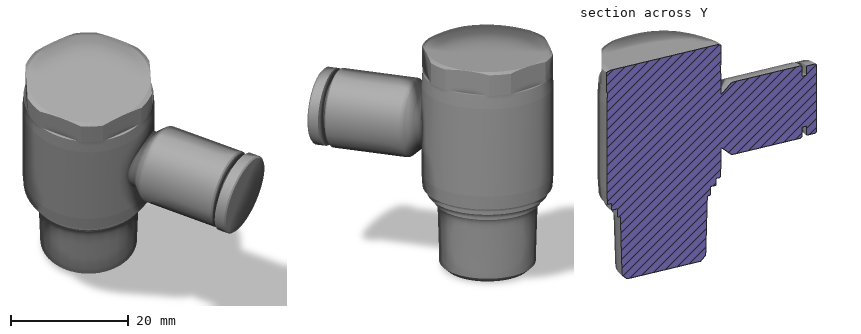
import cadquery as cq
import math

overall_length = 41.05

thread_tip_radius = 7.2
thread_small_radius = 8.2
thread_large_radius = 8.55
thread_chamfer_height = 0.95
collar_radius = 9.1
collar_chamfer = 0.15
seat_radius = 10.25
body_radius = 11.2
body_end_radius = 11.05
thread_top_z = 11.9
collar_top_z = 13.5
seat_top_z = 14.78
body_top_z = 35.75
body_taper_height = 2.45

head_sides = 6
head_height = 4.05
head_corner_radius = 11.25
head_across_flats = 21.1
head_face_radius = 10.5
head_chamfer_height = 0.3
head_across_corners = head_across_flats / math.cos(math.pi / head_sides)
head_top_z = body_top_z + head_height

branch_z = 25.33
neck_radius = 5.0
neck_end_x = 11.25
sleeve_radius = 6.8
sleeve_start_x = 13.2
sleeve_end_x = 26.95
sleeve_blend_radius = 1.0
sleeve_end_chamfer = 0.25

stem_radius = 4.8
ring_start_x = 27.85
ring_end_x = overall_length - head_corner_radius
ring_half_width = 7.47
ring_half_height = 6.53
ring_chamfer = 0.25


def make_body():
    """Revolve the stepped body with its tapered thread."""
    profile = [
        (0, 0),
        (thread_tip_radius, 0),
        (thread_small_radius, thread_chamfer_height),
        (thread_large_radius, thread_top_z),
        (collar_radius - collar_chamfer, thread_top_z),
        (collar_radius, thread_top_z + collar_chamfer),
        (collar_radius, collar_top_z),
        (seat_radius, collar_top_z),
        (seat_radius, seat_top_z),
        (body_end_radius, seat_top_z),
        (body_radius, seat_top_z + body_taper_height),
        (body_radius, body_top_z - body_taper_height),
        (body_end_radius, body_top_z),
        (0, body_top_z),
    ]
    return cq.Workplane("XZ").polyline(profile).close().revolve(360, (0, 0), (0, 1))


def make_head():
    """Hexagon with two flats facing +Y and -Y, its corners turned round and chamfered on top."""
    hexagon = (
        cq.Workplane("XY", origin=(0, 0, body_top_z))
        .polygon(head_sides, head_across_corners)
        .extrude(head_height)
    )
    turned_profile = [
        (0, body_top_z),
        (head_corner_radius, body_top_z),
        (head_corner_radius, head_top_z - head_chamfer_height),
        (head_face_radius, head_top_z),
        (0, head_top_z),
    ]
    turned_blank = cq.Workplane("XZ").polyline(turned_profile).close().revolve(360, (0, 0), (0, 1))
    return hexagon.intersect(turned_blank)


def make_sleeve():
    """Neck that flares through a blended cone into the tube sleeve."""
    profile = [
        (0, 0),
        (0, neck_radius),
        (neck_end_x, neck_radius),
        (sleeve_start_x, sleeve_radius),
        (sleeve_end_x, sleeve_radius),
        (sleeve_end_x, 0),
    ]
    sleeve = (
        cq.Workplane("XZ", origin=(0, 0, branch_z))
        .polyline(profile)
        .close()
        .revolve(360, (0, 0), (1, 0))
    )
    cone_rims = cq.selectors.BoxSelector(
        (neck_end_x - sleeve_blend_radius, -stem_radius, branch_z - stem_radius),
        (sleeve_start_x + sleeve_blend_radius, stem_radius, branch_z + stem_radius),
    )
    sleeve = sleeve.edges(cone_rims).fillet(sleeve_blend_radius)
    return sleeve.faces(">X").edges().chamfer(sleeve_end_chamfer)


def make_release_ring():
    """Oval ring, wider along Y than along Z, carried on a short round stem."""
    stem = (
        cq.Workplane("YZ", origin=(sleeve_end_x, 0, branch_z))
        .circle(stem_radius)
        .extrude(ring_start_x - sleeve_end_x)
    )
    ring = (
        cq.Workplane("YZ", origin=(ring_start_x, 0, branch_z))
        .ellipse(ring_half_width, ring_half_height)
        .extrude(ring_end_x - ring_start_x)
        .faces(">X")
        .edges()
        .chamfer(ring_chamfer)
    )
    return stem.union(ring)


result = make_body().union(make_head()).union(make_sleeve()).union(make_release_ring())